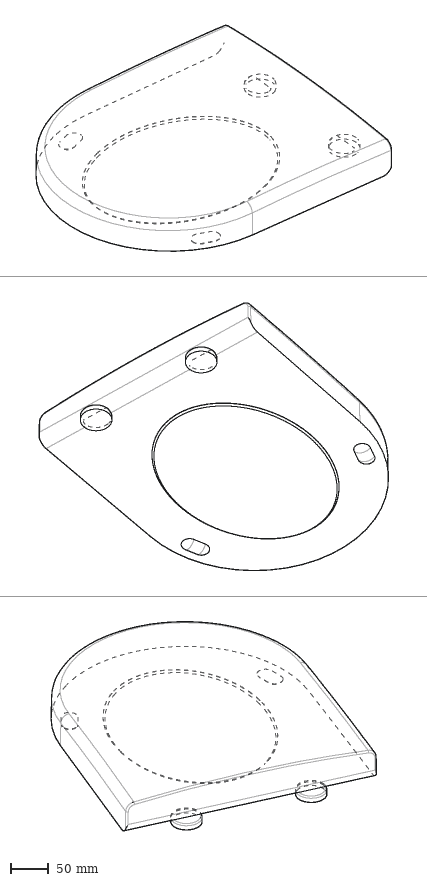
import cadquery as cq
import math


rim_z = 6.0
front_radius = 178.5
rear_y = 235.5
side_splay = 0.5
wall_draft = 1.0

crown_z = 63.8
crown_y = 129.0
length_radius = 3528.5
width_radius = 1870.5

top_edge_fillet = 12.8
rear_edge_fillet = 2.5
rear_bottom_fillet = 16.5

pad_half_width = 111.5
pad_half_length = 143.0
pad_y = 19.0
pad_z = 3.0
pad_chamfer = 2.5

hinge_x = 89.5
hinge_diameter = 42.0
hinge_overhang = 11.0
hinge_y = rear_y + hinge_overhang - hinge_diameter / 2
hinge_flat_diameter = 38.0
hinge_top_z = 9.0

bumper_x = 144.0
bumper_y = -54.0
bumper_straight = 18.0
bumper_diameter = 27.5

clearance = 21.3


def make_wall_block():
    """Draughted block with splayed sides and a round front; it runs past the rear of the lid."""
    splay = math.radians(side_splay)
    tangent_x = front_radius * math.cos(splay)
    tangent_y = -front_radius * math.sin(splay)
    end_y = rear_y + clearance
    end_x = tangent_x + (end_y - tangent_y) * math.tan(splay)
    return (
        cq.Workplane("XY", origin=(0, 0, rim_z))
        .moveTo(-end_x, end_y)
        .lineTo(-tangent_x, tangent_y)
        .threePointArc((0, -front_radius), (tangent_x, tangent_y))
        .lineTo(end_x, end_y)
        .close()
        .extrude(crown_z - rim_z + clearance, taper=wall_draft)
    )


def crown_point(y):
    """Point (y, z) of the crown above the plane of symmetry."""
    drop = length_radius - math.sqrt(length_radius**2 - (y - crown_y) ** 2)
    return y, crown_z - drop


def make_crown():
    """Drum turned about a low axis along Y: its skin is the lid top, its end the lid rear."""
    start_y = -front_radius - clearance
    axis_z = crown_z - width_radius
    return (
        cq.Workplane("YZ")
        .moveTo(start_y, axis_z)
        .lineTo(*crown_point(start_y))
        .threePointArc(crown_point(crown_y), crown_point(rear_y))
        .lineTo(rear_y, axis_z)
        .close()
        .revolve(360, (start_y, axis_z), (rear_y, axis_z))
    )


def make_rear_bottom_waste():
    """Bar of material that the rounded rear bottom edge leaves out."""
    radius = rear_bottom_fillet
    diagonal = radius * (1 - math.sqrt(0.5))
    return (
        cq.Workplane("YZ")
        .moveTo(rear_y - radius, rim_z)
        .threePointArc((rear_y - diagonal, rim_z + diagonal), (rear_y, rim_z + radius))
        .lineTo(rear_y, rim_z)
        .close()
        .extrude(front_radius + clearance, both=True)
    )


def make_lid():
    """Crowned lid with rounded edges and a recess for each hinge disc."""
    lid = make_wall_block().intersect(make_crown())
    crown_edges = lid.faces(">Z").edges("not >Y")
    lid = crown_edges.fillet(top_edge_fillet)
    rear_edges = lid.faces(">Y").edges("not <Z")
    lid = rear_edges.fillet(rear_edge_fillet)
    lid = lid.cut(make_rear_bottom_waste())
    for disc in make_hinge_discs():
        lid = lid.cut(cq.Workplane(disc))
    return lid


def make_pad():
    """Oval plate under the lid with a chamfered lower edge."""
    return (
        cq.Workplane("XY", origin=(0, pad_y, pad_z))
        .ellipse(pad_half_width, pad_half_length)
        .extrude(rim_z - pad_z)
        .faces("<Z")
        .chamfer(pad_chamfer)
    )


def make_hinge_discs():
    """Discs with a rounded top edge; the front of each sits in a recess of the lid."""
    discs = []
    for side in (-1, 1):
        disc = (
            cq.Workplane("XY", origin=(side * hinge_x, hinge_y, 0))
            .circle(hinge_diameter / 2)
            .extrude(hinge_top_z)
            .faces(">Z")
            .edges()
            .fillet((hinge_diameter - hinge_flat_diameter) / 2)
        )
        discs.append(disc.val())
    return discs


def make_bumpers():
    """Lower slices of round-ended rods under the rim, turned to follow the round front."""
    radius = bumper_diameter / 2
    half_straight = bumper_straight / 2
    turn = math.degrees(math.atan2(-bumper_y, bumper_x))
    rod = cq.Workplane("XZ", origin=(0, half_straight, radius)).circle(radius).extrude(bumper_straight)
    for end_y in (-half_straight, half_straight):
        rod = rod.union(cq.Workplane("XY", origin=(0, end_y, radius)).sphere(radius))
    slab = cq.Workplane("XY").rect(bumper_diameter, 2 * bumper_diameter).extrude(rim_z)
    foot = rod.intersect(slab)
    bumpers = []
    for side in (-1, 1):
        turned = foot.rotate((0, 0, 0), (0, 0, 1), -side * turn)
        bumpers.append(turned.translate((side * bumper_x, bumper_y, 0)).val())
    return bumpers


lid = make_lid()
pad = make_pad()
hinge_discs = make_hinge_discs()
bumpers = make_bumpers()

result = cq.Compound.makeCompound([lid.val(), pad.val(), *hinge_discs, *bumpers])